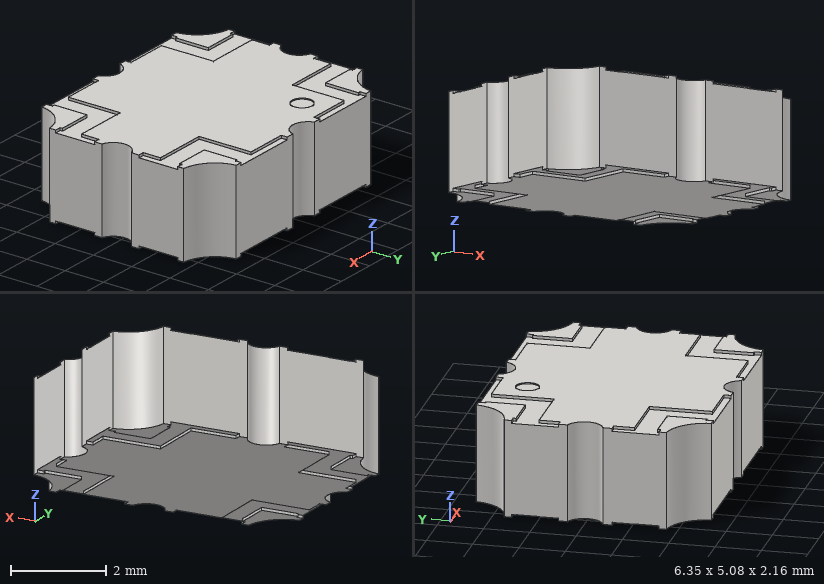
import cadquery as cq

LENGTH = 6.35
WIDTH = 5.08
HEIGHT = 2.16

CORNER_RADIUS = 0.895
CORNER_OFFSET = 0.10
NOTCH_RADIUS = 0.40
NOTCH_DEPTH = 0.28

RECESS_DEPTH = 0.065
BAND_WIDTH = 0.50
BAND_INNER_X = 1.65
BAND_INNER_Y = 1.03
PAD_START = 0.58
PAD_OVERHANG = 0.06
PAD_DEPTH = 0.155

MARK_X = -1.02
MARK_Y = 1.75
MARK_RADIUS = 0.255
MARK_DEPTH = 0.025

HALF_LENGTH = LENGTH / 2
HALF_WIDTH = WIDTH / 2
SIGNS = (-1, 1)


def recess_box(x_range, y_range, z_base):
    """Box of recess depth spanning the given X and Y ranges."""
    x_min, x_max = x_range
    y_min, y_max = y_range
    return cq.Workplane("XY").box(
        x_max - x_min, y_max - y_min, RECESS_DEPTH, centered=False
    ).translate((x_min, y_min, z_base))


def block():
    """Plain block with scooped corners and a round notch in each side."""
    corner_x = HALF_LENGTH + CORNER_OFFSET
    corner_y = HALF_WIDTH + CORNER_OFFSET
    corners = [(sx * corner_x, sy * corner_y) for sx in SIGNS for sy in SIGNS]
    notch_offset = NOTCH_RADIUS - NOTCH_DEPTH
    notches = [(s * (HALF_LENGTH + notch_offset), 0) for s in SIGNS]
    notches += [(0, s * (HALF_WIDTH + notch_offset)) for s in SIGNS]

    corner_cuts = cq.Workplane("XY").pushPoints(corners).circle(CORNER_RADIUS).extrude(HEIGHT)
    notch_cuts = cq.Workplane("XY").pushPoints(notches).circle(NOTCH_RADIUS).extrude(HEIGHT)
    body = cq.Workplane("XY").box(LENGTH, WIDTH, HEIGHT, centered=(True, True, False))
    return body.cut(corner_cuts).cut(notch_cuts)


def corner_recess(z_base):
    """L-shaped recess of the +X +Y corner, widened to a pad at each open end."""
    band_outer_x = BAND_INNER_X + BAND_WIDTH
    band_outer_y = BAND_INNER_Y + BAND_WIDTH
    band_x = (BAND_INNER_X, band_outer_x)
    band_y = (BAND_INNER_Y, band_outer_y)

    arm_along_y = recess_box(band_x, (BAND_INNER_Y, HALF_WIDTH), z_base)
    arm_along_x = recess_box((BAND_INNER_X, HALF_LENGTH), band_y, z_base)
    pad_on_y_side = recess_box(
        (PAD_START, band_outer_x + PAD_OVERHANG), (HALF_WIDTH - PAD_DEPTH, HALF_WIDTH), z_base
    )
    pad_on_x_side = recess_box(
        (HALF_LENGTH - PAD_DEPTH, HALF_LENGTH), (PAD_START, band_outer_y + PAD_OVERHANG), z_base
    )
    return arm_along_y.union(arm_along_x).union(pad_on_y_side).union(pad_on_x_side)


def cut_recesses(body):
    """Cut the four mirrored recesses into the bottom and top faces."""
    for z_base in (0, HEIGHT - RECESS_DEPTH):
        recess = corner_recess(z_base)
        recess_pair = recess.union(recess.mirror("YZ"))
        body = body.cut(recess_pair).cut(recess_pair.mirror("XZ"))
    return body


def cut_index_mark(body):
    """Sink the shallow round mark into the top face."""
    mark = (
        cq.Workplane("XY", origin=(MARK_X, MARK_Y, HEIGHT - MARK_DEPTH))
        .circle(MARK_RADIUS)
        .extrude(MARK_DEPTH)
    )
    return body.cut(mark)


result = cut_index_mark(cut_recesses(block()))